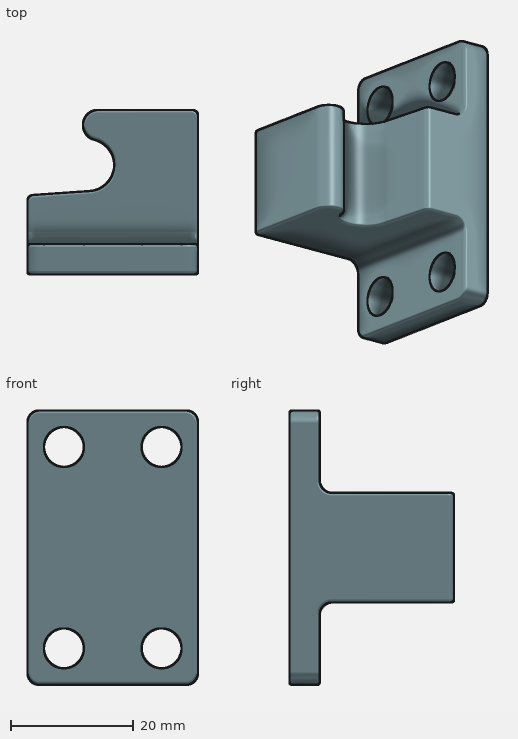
import cadquery as cq
import math

plate_width = 28.0
plate_height = 45.0
plate_thickness = 5.0
plate_corner_radius = 2.0

hole_diameter = 6.5
hole_edge_distance = 6.0

total_depth = 27.0
hook_height = 18.0
hook_root_fillet = 2.0
hook_corner_radius = 1.0
nose_radius = 2.5
nose_tip_inset = 9.1
throat_radius = 4.25
throat_center_y = 17.95
ramp_start_y = 13.0

edge_round = 0.5

left = -plate_width / 2
right = plate_width / 2


def nearest(x, y, z):
    """Selector for the edge whose middle lies nearest to a point."""
    return cq.selectors.NearestToPointSelector((x, y, z))


def on_circle(center, radius, angle):
    """Point on a circle at an angle in radians from +X."""
    return (center[0] + radius * math.cos(angle), center[1] + radius * math.sin(angle))


def make_plate():
    return (
        cq.Workplane("XY")
        .box(plate_width, plate_thickness, plate_height, centered=(True, False, True))
        .edges("|Y")
        .fillet(plate_corner_radius)
    )


def make_hook():
    """Hook block: a nose arc flows into the throat arc, then a ramp leads out to the left side."""
    nose_center = (left + nose_tip_inset + nose_radius, total_depth - nose_radius)

    center_distance = nose_radius + throat_radius
    drop = nose_center[1] - throat_center_y
    throat_center = (nose_center[0] - math.sqrt(center_distance**2 - drop**2), throat_center_y)
    contact_angle = math.atan2(drop, nose_center[0] - throat_center[0])
    contact = on_circle(throat_center, throat_radius, contact_angle)

    ramp_start = (left, ramp_start_y)
    run = throat_center[0] - ramp_start[0]
    rise = throat_center[1] - ramp_start[1]
    ramp_angle = math.atan2(rise, run) - math.asin(throat_radius / math.hypot(run, rise))
    ramp_end = on_circle(throat_center, throat_radius, ramp_angle - math.pi / 2)

    hook = (
        cq.Workplane("XY")
        .workplane(offset=-hook_height / 2)
        .moveTo(left, 0)
        .lineTo(right, 0)
        .lineTo(right, total_depth)
        .lineTo(nose_center[0], total_depth)
        .threePointArc(on_circle(nose_center, nose_radius, math.pi), contact)
        .threePointArc(on_circle(throat_center, throat_radius, 0), ramp_end)
        .lineTo(*ramp_start)
        .close()
        .extrude(hook_height)
    )
    hook = hook.edges(nearest(right, total_depth, 0)).fillet(hook_corner_radius)
    return hook.edges(nearest(left, ramp_start_y, 0)).fillet(hook_corner_radius)


def fillet_hook_root(body):
    """Blend the upper and lower hook faces into the back of the plate."""
    for side in (-1, 1):
        body = body.edges(nearest(0, plate_thickness, side * hook_height / 2)).fillet(hook_root_fillet)
    return body


def round_outer_edges(body):
    """Round the front rim of the plate, then the tangent edge chains of its back rim and the hook."""
    body = body.edges(nearest(0, 0, plate_height / 2)).fillet(edge_round)
    for side in (-1, 1):
        body = body.edges(nearest(0, plate_thickness, side * plate_height / 2)).fillet(edge_round)
    return body


def drill_holes(body):
    spacing_x = plate_width - 2 * hole_edge_distance
    spacing_z = plate_height - 2 * hole_edge_distance
    holes = (
        cq.Workplane("XZ")
        .rarray(spacing_x, spacing_z, 2, 2)
        .circle(hole_diameter / 2)
        .extrude(-plate_thickness)
    )
    return body.cut(holes)


body = make_plate().union(make_hook())
body = fillet_hook_root(body)
body = round_outer_edges(body)
result = drill_holes(body)